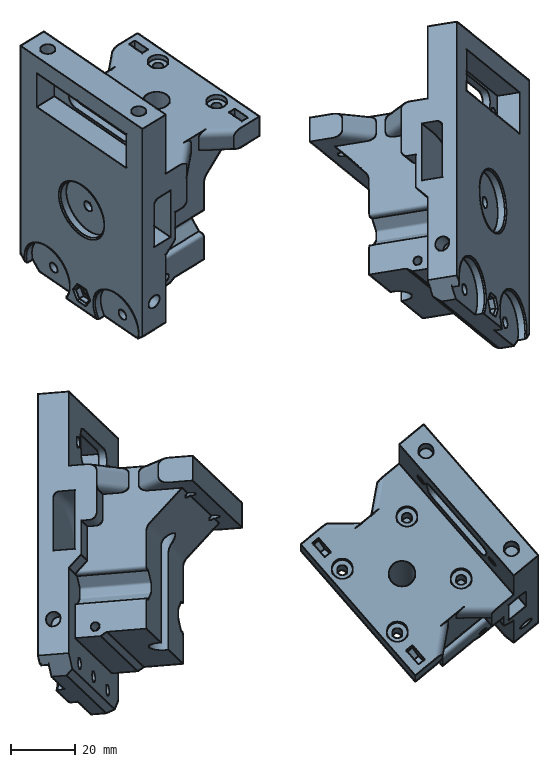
import cadquery as cq
import math

width = 55.0
plate_thickness = 10.0
plate_height = 90.0
corner_chamfer = 5.5
heel_chamfer_y = 2.3
heel_chamfer_z = 1.5
half_width = width / 2

connector_z = 76.5
recess_width = 40.2
recess_height = 13.7
recess_depth = 7.5
shell_top_width = 30.0
shell_bottom_width = 26.4
shell_height = 11.6
shell_corner_radius = 3.0
connector_screw_spacing = 34.1

screw_diameter = 3.5
magnet_diameter = 19.6
magnet_lip = 0.45
magnet_depth = 2.8
foot_z = 5.5
foot_magnet_x = 15.5
centre_magnet_z = 40.0
nut_across_flats = 5.5
nut_lead_in = 0.6
nut_depth = 2.5
dowel_diameter = 4.7
dowel_depth = 6.0
dowel_top_x = 20.5
dowel_side_z = 16.9

depth = 50.0
shelf_top = 66.0
shelf_thickness = 8.0
shelf_bottom = shelf_top - shelf_thickness
waist_half_width = 20.5
waist_front_outer_y = 19.0
waist_front_inner_y = 27.4
waist_rear_inner_y = 30.6
waist_rear_outer_y = 39.0
waist_round = 2.0

shelf_screw_diameter = 3.2
counterbore_diameter = 6.5
counterbore_depth = 1.8
rear_screw_x = 13.2
rear_screw_y = 45.2
front_screw_x = 13.0
front_screw_y = 19.1
bore_diameter = 8.2
bore_y = 32.1
notch_x = 22.5
notch_y = 45.7
notch_length = 5.9
notch_width = 2.5
notch_wall_depth = 3.0
notch_floor_angle = 30.0

body_rear_y = 33.0
body_bottom = 13.5
body_toe_bottom = 12.3
toe_start_y = 18.3
toe_end_y = 20.3
gusset_top_y = 44.6
gusset_blend = 4.0
cross_hole_diameter = 2.8
cross_hole_y = 16.5
cross_hole_z = 15.5
cross_hole_depth = 6.0

groove_z = 28.2
groove_depth = 5.4
groove_ledge_depth = 2.3
groove_half_height = 4.7
groove_lip_radius = 1.0
groove_root_radius = 1.0

web_bottom = 48.0
web_corner_radius = 2.2
web_step_y = 14.0
web_step_bottom = 37.0

channel_front_y = 5.0
channel_rear_y = 12.0
channel_bottom = 39.0
channel_top = shelf_bottom
channel_wall_half = 1.0
channel_arc_start_z = 41.3
channel_round = 2.0
passage_rear_y = 7.8
passage_top = 42.8


def box(x0, x1, y0, y1, z0, z1):
    return cq.Workplane("XY").box(x1 - x0, y1 - y0, z1 - z0, centered=False).translate((x0, y0, z0))


def drill_y(x, z, diameter, y0, y1):
    """Cylinder along +Y from y0 to y1."""
    start = cq.Vector(x, y0, z)
    return cq.Workplane(cq.Solid.makeCylinder(diameter / 2, y1 - y0, start, cq.Vector(0, 1, 0)))


def drill_down(x, y, diameter, z_top, length):
    start = cq.Vector(x, y, z_top)
    return cq.Workplane(cq.Solid.makeCylinder(diameter / 2, length, start, cq.Vector(0, 0, -1)))


def drill_x(y, z, diameter, x0, length):
    start = cq.Vector(x0, y, z)
    return cq.Workplane(cq.Solid.makeCylinder(diameter / 2, length, start, cq.Vector(1, 0, 0)))


def extrude_along_y(sketch_points, y0, y1):
    """Extrude a closed (x, z) polygon from y0 to y1."""
    plane = cq.Workplane("XZ", origin=(0, y0, 0))
    return plane.polyline(sketch_points).close().extrude(y0 - y1)


def extrude_across_x(outline, half_span):
    """Extrude a closed (y, z) polygon symmetrically about x = 0."""
    return cq.Workplane("YZ").polyline(outline).close().extrude(half_span, both=True)


def make_plate():
    plate = box(-half_width, half_width, 0, plate_thickness, 0, plate_height)
    plate = plate.edges("|Y and <Z").chamfer(corner_chamfer)
    heel = [
        (plate_thickness - heel_chamfer_y, 0),
        (plate_thickness, 0),
        (plate_thickness, heel_chamfer_z),
    ]
    return plate.cut(extrude_across_x(heel, half_width))


def make_shelf():
    right_side = [
        (half_width, plate_thickness),
        (half_width, waist_front_outer_y),
        (waist_half_width, waist_front_inner_y),
        (waist_half_width, waist_rear_inner_y),
        (half_width, waist_rear_outer_y),
        (half_width, depth),
    ]
    left_side = [(-x, y) for x, y in reversed(right_side)]
    plane = cq.Workplane("XY", origin=(0, 0, shelf_bottom))
    shelf = plane.polyline(right_side + left_side).close().extrude(shelf_thickness)
    slanted_faces = [
        face for face in shelf.faces("#Z").vals()
        if abs(face.normalAt().x) > 0.1 and abs(face.normalAt().y) > 0.1
    ]
    edges = [
        edge for face in slanted_faces for edge in face.Edges()
        if edge.startPoint().z == edge.endPoint().z
    ]
    return shelf.newObject(edges).fillet(waist_round)


def make_body():
    gusset_bottom = shelf_bottom - (gusset_top_y - body_rear_y)
    outline = [
        (plate_thickness, body_toe_bottom),
        (toe_start_y, body_toe_bottom),
        (toe_end_y, body_bottom),
        (body_rear_y, body_bottom),
        (body_rear_y, gusset_bottom),
        (gusset_top_y, shelf_bottom),
        (plate_thickness, shelf_bottom),
    ]
    body = extrude_across_x(outline, waist_half_width)
    corner = cq.selectors.NearestToPointSelector((0, body_rear_y, gusset_bottom))
    return body.edges("|X").edges(corner).fillet(gusset_blend)


def make_groove():
    """Cutter for the groove on the +X flank, with a rounded lip and root."""
    outer = waist_half_width
    lip = outer - groove_lip_radius
    ledge = outer - groove_ledge_depth
    root = outer - groove_depth
    root_half = groove_half_height - (groove_depth - groove_ledge_depth)
    opening_half = groove_half_height + groove_lip_radius
    bend = groove_lip_radius * (1 - math.sqrt(0.5))
    bend_x = outer - bend
    bend_half = groove_half_height + bend
    profile = (
        cq.Workplane("XZ", origin=(0, plate_thickness, 0))
        .moveTo(outer, groove_z + opening_half)
        .threePointArc((bend_x, groove_z + bend_half), (lip, groove_z + groove_half_height))
        .lineTo(ledge, groove_z + groove_half_height)
        .lineTo(root, groove_z + root_half)
        .lineTo(root, groove_z - root_half)
        .lineTo(ledge, groove_z - groove_half_height)
        .lineTo(lip, groove_z - groove_half_height)
        .threePointArc((bend_x, groove_z - bend_half), (outer, groove_z - opening_half))
        .close()
    )
    groove = profile.extrude(plate_thickness - body_rear_y)
    return groove.faces("<X").edges("|Y").fillet(groove_root_radius)


def make_webs():
    step_height = web_step_y - plate_thickness
    outline = [
        (plate_thickness, web_step_bottom - step_height),
        (web_step_y, web_step_bottom),
        (web_step_y, web_bottom),
        (waist_front_outer_y, web_bottom),
        (waist_front_outer_y, shelf_bottom + waist_round),
        (plate_thickness, shelf_bottom + waist_round),
    ]
    webs = extrude_across_x(outline, half_width)
    corner = cq.selectors.NearestToPointSelector((0, waist_front_outer_y, web_bottom))
    return webs.edges("|X").edges(corner).fillet(web_corner_radius)


def make_channel():
    """Cutter for the +X half of the cable channel, roofed by a quarter arc."""
    radius = channel_top - channel_arc_start_z
    arc_end_x = channel_wall_half + radius
    bend = radius * (1 - math.sqrt(0.5))
    profile = (
        cq.Workplane("XZ", origin=(0, channel_front_y, 0))
        .moveTo(channel_wall_half, channel_bottom)
        .lineTo(channel_wall_half, channel_arc_start_z)
        .threePointArc((channel_wall_half + bend, channel_top - bend), (arc_end_x, channel_top))
        .lineTo(half_width, channel_top)
        .lineTo(half_width, channel_bottom)
        .close()
    )
    channel = profile.extrude(channel_front_y - channel_rear_y)
    front_edges = channel.faces("<Y").edges("not(<Z or >X)")
    return front_edges.fillet(channel_round)


def make_passage():
    """Cutter for the low opening that links the two halves of the channel."""
    reach = 2 * channel_wall_half + channel_round
    return box(-reach, reach, channel_front_y, passage_rear_y, channel_bottom, passage_top)


def make_connector_opening():
    half_recess = recess_width / 2
    recess = box(
        -half_recess, half_recess, 0, recess_depth,
        connector_z - recess_height / 2, connector_z + recess_height / 2,
    )
    shell_outline = [
        (-shell_top_width / 2, connector_z + shell_height / 2),
        (shell_top_width / 2, connector_z + shell_height / 2),
        (shell_bottom_width / 2, connector_z - shell_height / 2),
        (-shell_bottom_width / 2, connector_z - shell_height / 2),
    ]
    shell = extrude_along_y(shell_outline, 0, plate_thickness)
    opening = recess.union(shell.edges("|Y").fillet(shell_corner_radius))
    for side in (-1, 1):
        x = side * connector_screw_spacing / 2
        opening = opening.union(drill_y(x, connector_z, screw_diameter, 0, plate_thickness))
    return opening


def make_magnet_pocket(x, z, hole_end_y):
    """Magnet pocket with a chamfered mouth and a central screw hole."""
    radius = magnet_diameter / 2
    inward = cq.Vector(0, 1, 0)
    mouth = cq.Solid.makeCone(radius + magnet_lip, radius, magnet_lip, cq.Vector(x, 0, z), inward)
    pocket = drill_y(x, z, magnet_diameter, 0, magnet_depth).union(cq.Workplane(mouth))
    return pocket.union(drill_y(x, z, screw_diameter, 0, hole_end_y))


def hexagon(across_flats):
    plane = cq.Workplane("XZ", origin=(0, 0, foot_z))
    return plane.polygon(6, across_flats / math.cos(math.pi / 6))


def make_nut_trap():
    lead_in = hexagon(nut_across_flats + 2 * nut_lead_in).extrude(-nut_lead_in, taper=45)
    trap = hexagon(nut_across_flats).extrude(-nut_depth).union(lead_in)
    return trap.union(drill_y(0, foot_z, screw_diameter, 0, plate_thickness))


def make_shelf_screw(x, y, length):
    hole = drill_down(x, y, shelf_screw_diameter, shelf_top, length)
    return hole.union(drill_down(x, y, counterbore_diameter, shelf_top, counterbore_depth))


def make_notch(x):
    """Cutter for a straight-walled notch in the shelf top with a V-shaped floor."""
    half_length = notch_length / 2
    wall_bottom = shelf_top - notch_wall_depth
    valley = wall_bottom - half_length * math.tan(math.radians(notch_floor_angle))
    outline = [
        (x - half_length, shelf_top),
        (x + half_length, shelf_top),
        (x + half_length, wall_bottom),
        (x, valley),
        (x - half_length, wall_bottom),
    ]
    return extrude_along_y(outline, notch_y - notch_width / 2, notch_y + notch_width / 2)


def make_part():
    groove = make_groove()
    body = make_body().cut(groove).cut(groove.mirror("YZ"))
    part = make_plate().union(make_shelf()).union(body).union(make_webs())

    channel = make_channel()
    part = part.cut(channel).cut(channel.mirror("YZ")).cut(make_passage())
    part = part.cut(make_connector_opening())

    part = part.cut(make_magnet_pocket(0, centre_magnet_z, passage_rear_y))
    part = part.cut(make_nut_trap())
    part = part.cut(drill_down(0, bore_y, bore_diameter, shelf_top, shelf_top))

    cross_hole = drill_x(cross_hole_y, cross_hole_z, cross_hole_diameter, -waist_half_width, cross_hole_depth)
    part = part.cut(cross_hole).cut(cross_hole.mirror("YZ"))

    dowel_y = plate_thickness / 2
    for side in (-1, 1):
        part = part.cut(make_magnet_pocket(side * foot_magnet_x, foot_z, plate_thickness))
        part = part.cut(drill_down(side * dowel_top_x, dowel_y, dowel_diameter, plate_height, dowel_depth))
        part = part.cut(make_shelf_screw(side * rear_screw_x, rear_screw_y, shelf_top))
        part = part.cut(make_shelf_screw(side * front_screw_x, front_screw_y, shelf_thickness))
        part = part.cut(make_notch(side * notch_x))

    dowel_left = drill_x(dowel_y, dowel_side_z, dowel_diameter, -half_width, dowel_depth)
    return part.cut(dowel_left).cut(dowel_left.mirror("YZ"))


result = make_part()